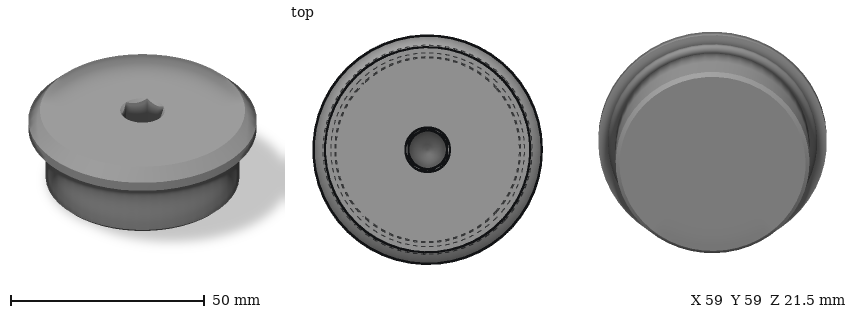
import cadquery as cq
import math

HEAD_RADIUS = 29.5
HEAD_HEIGHT = 5.5
HEAD_CHAMFER = 3.0
SHANK_RADIUS = 25.0
SHANK_CHAMFER = 1.0
TOTAL_HEIGHT = 21.5
HEAD_BOTTOM = TOTAL_HEIGHT - HEAD_HEIGHT

SOCKET_FLATS = 10.0
SOCKET_DEPTH = 8.0
SOCKET_CORNER_RADIUS = SOCKET_FLATS / math.sqrt(3)
SOCKET_FLAT_RADIUS = SOCKET_FLATS / 2
COUNTERSINK_SLOPE = math.tan(math.radians(45))
DRILL_TIP_SLOPE = math.tan(math.radians(30))

RING_CENTRE_RADIUS = 25.35
RING_SECTION_RADIUS = 1.65
RING_CENTRE_Z = 16.15


def socket_cutter():
    """Hexagon recess with a conical mouth and a drill-point bottom."""
    floor = TOTAL_HEIGHT - SOCKET_DEPTH
    hexagon = (
        cq.Workplane("XY", origin=(0, 0, floor))
        .polygon(6, 2 * SOCKET_CORNER_RADIUS)
        .extrude(SOCKET_DEPTH)
        .rotate((0, 0, 0), (0, 0, 1), 30)
    )
    mouth = cq.Workplane(
        cq.Solid.makeCone(
            SOCKET_CORNER_RADIUS,
            0,
            SOCKET_CORNER_RADIUS * COUNTERSINK_SLOPE,
            pnt=cq.Vector(0, 0, TOTAL_HEIGHT),
            dir=cq.Vector(0, 0, -1),
        )
    )
    drill_tip = cq.Workplane(
        cq.Solid.makeCone(
            SOCKET_FLAT_RADIUS,
            0,
            SOCKET_FLAT_RADIUS * DRILL_TIP_SLOPE,
            pnt=cq.Vector(0, 0, floor),
            dir=cq.Vector(0, 0, -1),
        )
    )
    return hexagon.union(mouth).union(drill_tip)


def make_plug():
    """Shank and head in one piece, with the hexagon socket in the top face."""
    shank = (
        cq.Workplane("XY")
        .circle(SHANK_RADIUS)
        .extrude(HEAD_BOTTOM)
        .faces("<Z")
        .chamfer(SHANK_CHAMFER)
    )
    head = (
        cq.Workplane("XY", origin=(0, 0, HEAD_BOTTOM))
        .circle(HEAD_RADIUS)
        .extrude(HEAD_HEIGHT)
        .faces(">Z")
        .chamfer(HEAD_CHAMFER)
    )
    return shank.union(head).cut(socket_cutter())


def make_o_ring():
    """Round-section ring; its own shape also cuts the groove that it sits in."""
    return (
        cq.Workplane("XZ")
        .center(RING_CENTRE_RADIUS, RING_CENTRE_Z)
        .circle(RING_SECTION_RADIUS)
        .revolve(360, (-RING_CENTRE_RADIUS, 0), (-RING_CENTRE_RADIUS, 1))
    )


o_ring = make_o_ring()
plug = make_plug().cut(o_ring)

result = cq.Compound.makeCompound([plug.val(), o_ring.val()])